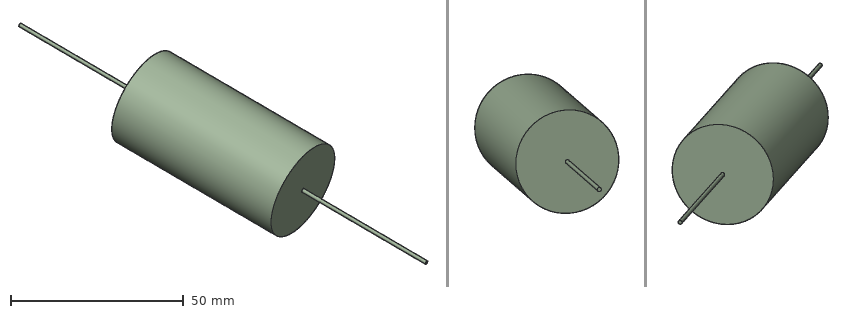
import cadquery as cq

overall_length = 148.0
can_diameter = 30.5
can_length = 58.0
wire_diameter = 1.2


def rod(diameter, length):
    """Solid cylinder along X, centred on the origin."""
    return cq.Workplane("YZ", origin=(-length / 2, 0, 0)).circle(diameter / 2).extrude(length)


wire = rod(wire_diameter, overall_length)

can = rod(can_diameter, can_length).cut(rod(wire_diameter, can_length))

result = cq.Compound.makeCompound([can.val(), wire.val()])